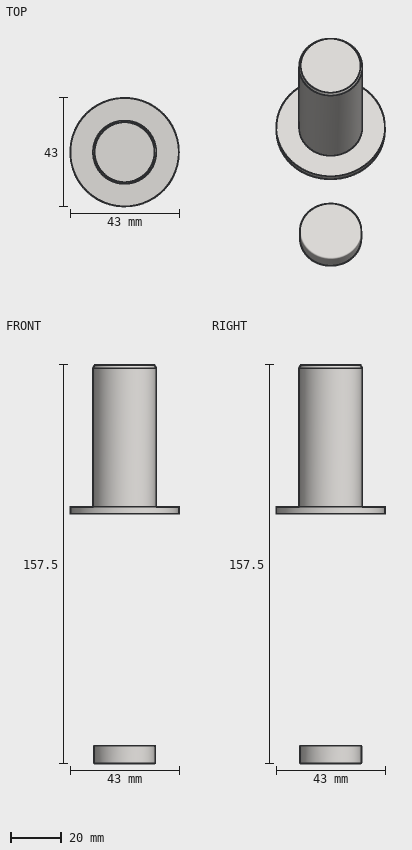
import cadquery as cq

overall_height = 157.5

flange_diameter = 43.0
flange_thickness = 2.8
shaft_diameter = 25.0
pin_height = 58.9
shaft_chamfer_height = 1.3
shaft_chamfer_width = 0.71

disc_diameter = 24.4
disc_height = 7.1
disc_edge_radius = 0.55


def make_flanged_pin():
    """Round shaft with a steeply chamfered top end, standing on a thin flange."""
    flange_bottom = overall_height - pin_height
    flange = (
        cq.Workplane("XY")
        .workplane(offset=flange_bottom)
        .circle(flange_diameter / 2)
        .extrude(flange_thickness)
    )
    shaft = (
        cq.Workplane("XY")
        .workplane(offset=flange_bottom)
        .circle(shaft_diameter / 2)
        .extrude(pin_height)
        .faces(">Z")
        .edges()
        .chamfer(shaft_chamfer_height, shaft_chamfer_width)
    )
    return flange.union(shaft)


def make_disc():
    """Short disc with both rims rounded."""
    return (
        cq.Workplane("XY")
        .circle(disc_diameter / 2)
        .extrude(disc_height)
        .faces("<Z or >Z")
        .edges()
        .fillet(disc_edge_radius)
    )


flanged_pin = make_flanged_pin()
disc = make_disc()

result = cq.Compound.makeCompound([flanged_pin.val(), disc.val()])